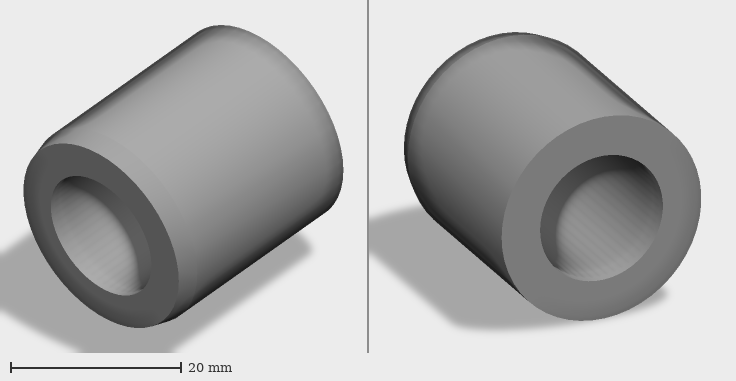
import cadquery as cq
import math

length = 28.0
outer_diameter = 26.0
bore_diameter = 16.0
taper_length = 2.5
taper_angle = 15.0

outer_radius = outer_diameter / 2
bore_radius = bore_diameter / 2
tip_radius = outer_radius - taper_length * math.tan(math.radians(taper_angle))
front_y = -length / 2
back_y = length / 2

half_section = (
    cq.Workplane("XY")
    .moveTo(bore_radius, front_y)
    .lineTo(tip_radius, front_y)
    .lineTo(outer_radius, front_y + taper_length)
    .lineTo(outer_radius, back_y)
    .lineTo(bore_radius, back_y)
    .close()
)

result = half_section.revolve(360, (0, 0, 0), (0, 1, 0))